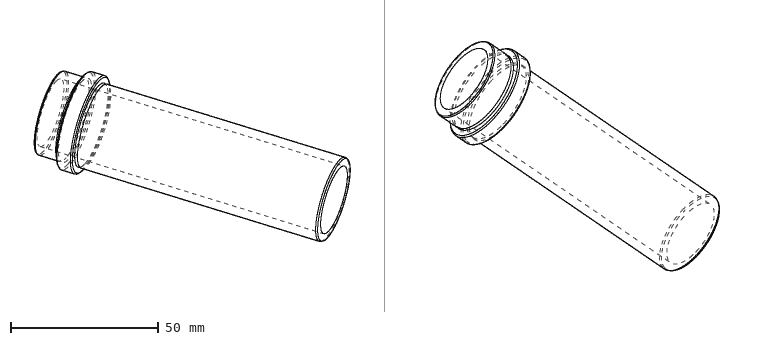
import cadquery as cq

length = 104.0
bore_radius = 24.0 / 2
body_radius = 30.0 / 2

collar_radius = 35.0 / 2
collar_start = 9.0
collar_width = 5.9
collar_chamfer = 0.5

relief_depth = 0.3
relief_width = 1.0

spigot_chamfer_length = 0.5
tail_chamfer_length = 0.6
end_chamfer_drop = 0.3

collar_end = collar_start + collar_width
relief_radius = body_radius - relief_depth
collar_face_radius = collar_radius - collar_chamfer
end_face_radius = body_radius - end_chamfer_drop


def add_relief(section, start):
    """Continue the section with a rounded groove beginning at the given place."""
    bottom = (start + relief_width / 2, relief_radius)
    end = (start + relief_width, body_radius)
    return section.threePointArc(bottom, end)


section = (
    cq.Workplane("XY")
    .moveTo(0, bore_radius)
    .lineTo(0, end_face_radius)
    .lineTo(spigot_chamfer_length, body_radius)
    .lineTo(collar_start - relief_width, body_radius)
)
section = add_relief(section, collar_start - relief_width)
section = (
    section.lineTo(collar_start, collar_face_radius)
    .lineTo(collar_start + collar_chamfer, collar_radius)
    .lineTo(collar_end - collar_chamfer, collar_radius)
    .lineTo(collar_end, collar_face_radius)
    .lineTo(collar_end, body_radius)
)
section = add_relief(section, collar_end)
section = (
    section.lineTo(length - tail_chamfer_length, body_radius)
    .lineTo(length, end_face_radius)
    .lineTo(length, bore_radius)
    .close()
)

result = section.revolve(360, (0, 0, 0), (1, 0, 0)).translate((-length / 2, 0, 0))